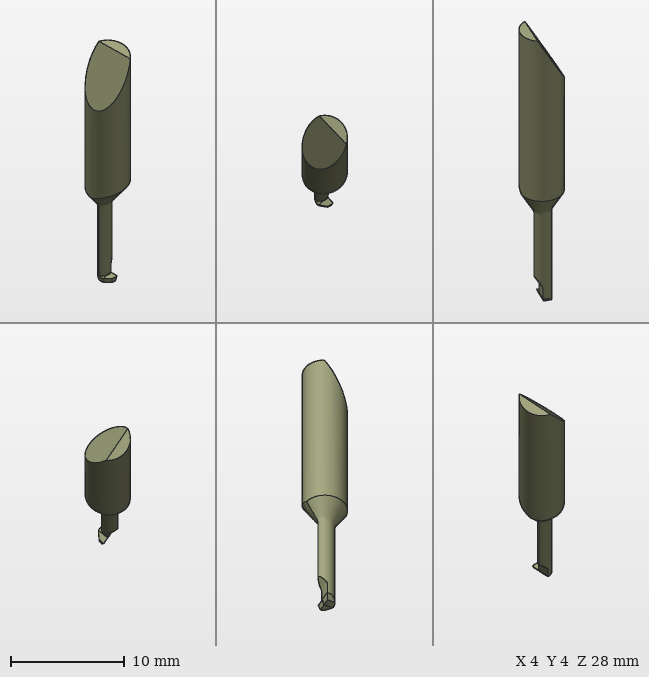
import cadquery as cq
import math

length = 28.0
shank_diameter = 4.0
shank_radius = shank_diameter / 2

flat_top_y = 0.98
flat_angle = math.radians(30)

neck_radius = 0.9
relief_axis_x = -0.65
cone_angle = math.radians(30)
cone_base_z = 9.45
neck_fillet = 0.85

head_height = 0.5
rake_y = 0.2
rake_start_z = 2.8
rake_angle = math.radians(33)
rake_fillet = 0.55
rake_slant_z = 0.55
rake_bottom_y = -0.03
heel_height = head_height
heel_inner_x = -0.48

tip_joint_x = 0.17
tip_reach_x = 0.9
tip_flank_x = 0.78
tip_flank_y = -0.4

end_relief_angle = math.radians(2)


def neck_profile(axis_x, max_radius):
    """Revolved neck and cone about a vertical axis, up to max_radius, then a cylinder."""
    cone_top_z = cone_base_z + (max_radius - neck_radius) / math.tan(cone_angle)
    tangent = neck_fillet * math.tan(cone_angle / 2)
    fillet_center_r = neck_radius + neck_fillet
    fillet_low_z = cone_base_z - tangent
    fillet_mid = (
        fillet_center_r - neck_fillet * math.cos(cone_angle / 2),
        fillet_low_z + neck_fillet * math.sin(cone_angle / 2),
    )
    fillet_end = (
        neck_radius + tangent * math.sin(cone_angle),
        cone_base_z + tangent * math.cos(cone_angle),
    )
    return (
        cq.Workplane("XZ")
        .lineTo(neck_radius, 0)
        .lineTo(neck_radius, fillet_low_z)
        .threePointArc(fillet_mid, fillet_end)
        .lineTo(max_radius, cone_top_z)
        .lineTo(max_radius, length)
        .lineTo(0, length)
        .close()
        .revolve(360, (0, 0, 0), (0, 1, 0))
        .translate((axis_x, 0, 0))
    )


def side_prism(points):
    """Prism along X, across the whole tool, from (y, z) points."""
    return cq.Workplane("YZ").polyline(points).close().extrude(shank_radius, both=True)


def clamping_flat_cut():
    front_y = -shank_radius
    front_z = length - (flat_top_y + shank_radius) / math.tan(flat_angle)
    return side_prism([(flat_top_y, length), (front_y, length), (front_y, front_z)])


def rake_cut():
    """Material removed on the +Y side of the lower end."""
    outer_y = shank_radius
    outer_z = rake_start_z + (outer_y - neck_radius) / math.tan(rake_angle)
    run_out_z = rake_start_z - (neck_radius - rake_y) / math.tan(rake_angle)
    cut = side_prism([
        (rake_bottom_y, 0),
        (rake_y, rake_slant_z),
        (rake_y, run_out_z),
        (outer_y, outer_z),
        (outer_y, 0),
    ])
    run_out_edge = cq.selectors.NearestToPointSelector((0, rake_y, run_out_z))
    return cut.edges("|X").edges(run_out_edge).fillet(rake_fillet)


def heel_cut():
    points = [(-neck_radius, 0), (heel_inner_x, 0), (-neck_radius, heel_height)]
    return cq.Workplane("XZ").polyline(points).close().extrude(shank_radius, both=True)


def end_relief_cut():
    heel_z = (tip_reach_x + neck_radius) * math.tan(end_relief_angle)
    points = [(tip_reach_x, 0), (-neck_radius, 0), (-neck_radius, heel_z)]
    return cq.Workplane("XZ").polyline(points).close().extrude(shank_radius, both=True)


def make_bar():
    main_profile = neck_profile(0, shank_radius)
    relief_profile = neck_profile(relief_axis_x, shank_radius - relief_axis_x)
    bar = main_profile.intersect(relief_profile)

    head = cq.Workplane("XY").circle(neck_radius).extrude(head_height)
    beyond_joint = (
        cq.Workplane("XY")
        .box(shank_radius, 2 * shank_radius, head_height, centered=(False, True, False))
        .translate((tip_joint_x, 0, 0))
    )
    bar = bar.union(head).cut(beyond_joint)
    bar = bar.cut(clamping_flat_cut()).cut(rake_cut())
    return bar.cut(heel_cut()).cut(end_relief_cut())


def make_tip():
    joint_y = -math.sqrt(neck_radius**2 - tip_joint_x**2)
    outline = [
        (tip_joint_x, joint_y),
        (tip_flank_x, tip_flank_y),
        (tip_reach_x, rake_bottom_y),
        (tip_reach_x, rake_y),
        (tip_joint_x, rake_y),
    ]
    tip = cq.Workplane("XY").polyline(outline).close().extrude(head_height)
    return tip.cut(rake_cut()).cut(end_relief_cut())


bar = make_bar()
tip = make_tip()
result = cq.Compound.makeCompound([bar.val(), tip.val()])